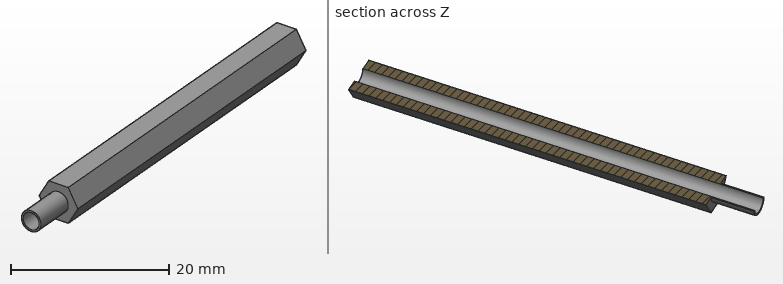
import cadquery as cq
import math

total_length = 56.0
stud_length = 6.0
stud_diameter = 3.0
bore_diameter = 2.45
across_flats = 5.2

across_corners = across_flats / math.cos(math.pi / 6)
body_length = total_length - stud_length
stud_tip_y = -total_length / 2
shoulder_y = stud_tip_y + stud_length


def plane_at(y):
    """XZ plane at the given Y, with its normal pointing toward +Y."""
    return cq.Workplane(cq.Plane(origin=(0, y, 0), xDir=(-1, 0, 0), normal=(0, 1, 0)))


body = plane_at(shoulder_y).polygon(6, across_corners).extrude(body_length)

stud = plane_at(stud_tip_y).circle(stud_diameter / 2).extrude(stud_length)

bore = plane_at(stud_tip_y).circle(bore_diameter / 2).extrude(total_length)

result = body.union(stud).cut(bore)